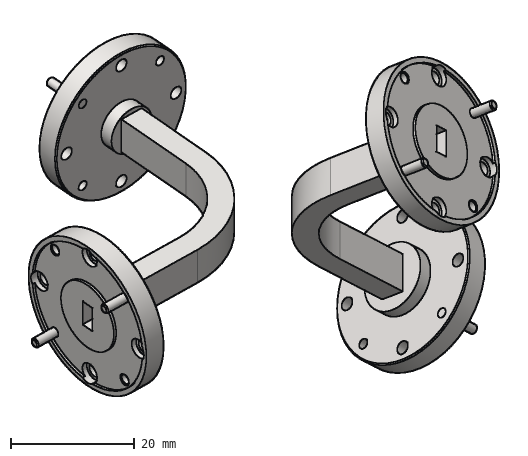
import cadquery as cq
import math


overall_length = 56.25
flange_diameter = 28.6
pin_projection = 4.0
face_distance = overall_length - flange_diameter / 2 - pin_projection

bend_radius = 16.0
bore_width = 2.35
bore_height = 4.8
duct_wall = 1.0
duct_width = bore_width + 2 * duct_wall
duct_height = bore_height + 2 * duct_wall

flange_thickness = 4.0
back_chamfer = 0.2
hub_length = 2.5
front_hub_diameter = 12.05
side_hub_diameter = 8.8

side_bore_depth = flange_thickness + hub_length

recess_depth = 0.5
rim_inner_diameter = 26.65
boss_diameter = 12.8

hole_circle_radius = 11.9
screw_hole_diameter = 2.3
counterbore_diameter = 3.55
counterbore_depth = 1.45
pin_diameter = 1.7
pin_chamfer = 0.2
dowel_hole_diameter = 1.75
dowel_hole_chamfer = 0.15

screw_angles = [0, 90, 180, 270]
pin_angles = [45, 225]
dowel_hole_angles = [135, 315]

front_face = cq.Plane(origin=(0, -face_distance, 0), xDir=(1, 0, 0), normal=(0, -1, 0))
side_face = cq.Plane(origin=(-face_distance, 0, 0), xDir=(0, -1, 0), normal=(-1, 0, 0))


def circle_points(angles):
    """Points on the hole circle at the given angles in degrees."""
    return [
        (
            hole_circle_radius * math.cos(math.radians(angle)),
            hole_circle_radius * math.sin(math.radians(angle)),
        )
        for angle in angles
    ]


def cylinders(face, points, diameter, top, bottom):
    """Cylinders along the face normal, from height bottom to height top."""
    return (
        cq.Workplane(face)
        .workplane(offset=bottom)
        .pushPoints(points)
        .circle(diameter / 2)
        .extrude(top - bottom)
    )


def bend_path():
    """Duct axis from the front flange face to the far end of the bend."""
    arc_middle = bend_radius * (1 - math.sqrt(0.5))
    return (
        cq.Workplane("XY")
        .moveTo(0, -face_distance)
        .lineTo(0, -bend_radius)
        .threePointArc((-arc_middle, -arc_middle), (-bend_radius, 0))
    )


def make_duct():
    """Outside of the duct, from one flange face to the other."""
    path = bend_path().lineTo(-face_distance, 0)
    return cq.Workplane(front_face).rect(duct_width, duct_height).sweep(path)


def cut_bores(body):
    """Cut the front bore through the bend, and the flat-bottomed bore in the side end."""
    front_bore = cq.Workplane(front_face).rect(bore_width, bore_height).sweep(bend_path())
    side_bore = cq.Workplane(side_face).rect(bore_width, bore_height).extrude(-side_bore_depth)
    return body.cut(front_bore).cut(side_bore)


def flange_blank(face, hub_diameter):
    """Flange disc with a chamfered back edge and a hub behind it."""
    disc = cylinders(face, [(0, 0)], flange_diameter, 0, -flange_thickness)
    disc = disc.faces(cq.selectors.DirectionMinMaxSelector(face.zDir, False)).chamfer(back_chamfer)
    hub = cylinders(face, [(0, 0)], hub_diameter, -flange_thickness, -flange_thickness - hub_length)
    return disc.union(hub)


def cut_face_recess(body, face):
    """Cut the ring recess that leaves the rim and the central boss."""
    ring = (
        cq.Workplane(face)
        .circle(rim_inner_diameter / 2)
        .circle(boss_diameter / 2)
        .extrude(-recess_depth)
    )
    return body.cut(ring)


def cut_screw_holes(body, face):
    """Cut the counterbored through holes."""
    points = circle_points(screw_angles)
    holes = cylinders(face, points, screw_hole_diameter, 0, -flange_thickness)
    counterbores = cylinders(face, points, counterbore_diameter, 0, -counterbore_depth)
    return body.cut(holes).cut(counterbores)


def cut_dowel_holes(body, face):
    """Cut the clearance holes for the mating pins, chamfered at the recess floor."""
    points = circle_points(dowel_hole_angles)
    holes = cylinders(face, points, dowel_hole_diameter, 0, -flange_thickness)
    mouth_diameter = dowel_hole_diameter + 2 * dowel_hole_chamfer
    mouths = (
        cq.Workplane(face)
        .workplane(offset=-recess_depth)
        .pushPoints(points)
        .circle(mouth_diameter / 2)
        .extrude(-dowel_hole_chamfer, taper=45)
    )
    return body.cut(holes).cut(mouths)


def cut_pin_seats(body, face):
    """Cut the through holes that hold this flange's own pins."""
    seats = cylinders(face, circle_points(pin_angles), pin_diameter, 0, -flange_thickness)
    return body.cut(seats)


def make_waveguide():
    """Duct, hubs and flanges as one solid."""
    body = make_duct()
    body = body.union(flange_blank(front_face, front_hub_diameter))
    body = body.union(flange_blank(side_face, side_hub_diameter))
    body = cut_bores(body)
    for face in (front_face, side_face):
        body = cut_face_recess(body, face)
        body = cut_screw_holes(body, face)
        body = cut_dowel_holes(body, face)
        body = cut_pin_seats(body, face)
    return body


def make_pin(face, point):
    """Dowel pin flush with the flange back, with a chamfered free end."""
    pin = cylinders(face, [point], pin_diameter, pin_projection, -flange_thickness)
    return pin.faces(cq.selectors.DirectionMinMaxSelector(face.zDir, True)).chamfer(pin_chamfer)


waveguide = make_waveguide()
pins = [
    make_pin(face, point)
    for face in (front_face, side_face)
    for point in circle_points(pin_angles)
]

result = cq.Compound.makeCompound([waveguide.solids().val(), *[pin.solids().val() for pin in pins]])